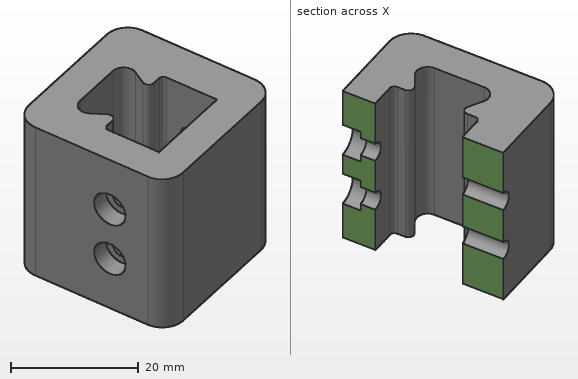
import cadquery as cq
import math

height = 30.0
corner_radius = 4.0

side_wall = 6.0
front_wall = 6.0
back_wall = 7.5

channel_length = 10.5
channel_width = 16.0
lobe_length = 7.0
lobe_wall_width = 16.08
flank_angle = 30.0
lobe_radius = 2.0
neck_radius = 1.0
channel_corner_radius = 0.8

hole_diameter = 3.4
counterbore_diameter = 6.0
counterbore_depth = 3.3
hole_spacing = 10.0

block_x = channel_length + lobe_length + 2 * side_wall
block_y = channel_width + front_wall + back_wall
front_y = -block_y / 2
pocket_center_y = front_y + front_wall + channel_width / 2
lobe_wall_x = -block_x / 2 + side_wall
neck_x = lobe_wall_x + lobe_length
channel_end_x = neck_x + channel_length
hole_x = (neck_x + channel_end_x) / 2


def make_block():
    block = cq.Workplane("XY").box(block_x, block_y, height)
    return block.edges("|Z").fillet(corner_radius)


def make_pocket():
    half_channel = channel_width / 2
    half_lobe = lobe_wall_width / 2
    half_neck = half_lobe - lobe_length * math.tan(math.radians(flank_angle))
    upper = [
        (lobe_wall_x, half_lobe),
        (neck_x, half_neck),
        (neck_x, half_channel),
        (channel_end_x, half_channel),
    ]
    lower = [(x, -y) for x, y in reversed(upper)]
    pocket = cq.Workplane("XY").polyline(upper + lower).close().extrude(height / 2, both=True)

    radii = (lobe_radius, neck_radius, channel_corner_radius)
    for (x, y), radius in zip(upper, radii):
        for side in (1, -1):
            pocket = pocket.edges(cq.NearestToPointSelector((x, side * y, 0))).fillet(radius)
    return pocket.translate((0, pocket_center_y, 0))


def make_cross_hole(z):
    start = cq.Vector(hole_x, front_y, z)
    inward = cq.Vector(0, 1, 0)
    bore = cq.Solid.makeCylinder(hole_diameter / 2, block_y, start, inward)
    counterbore = cq.Solid.makeCylinder(counterbore_diameter / 2, counterbore_depth, start, inward)
    return cq.Workplane(bore.fuse(counterbore))


result = make_block().cut(make_pocket())
for hole_z in (-hole_spacing / 2, hole_spacing / 2):
    result = result.cut(make_cross_hole(hole_z))